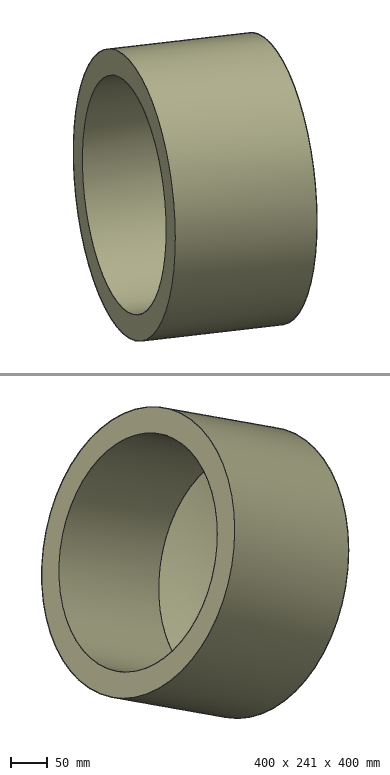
import cadquery as cq
import math

outer_radius = 200.0
wall = 36.0
total_length = 241.0
dome_height = 35.5

inner_radius = outer_radius - wall
skirt_length = total_length - dome_height

outer_dome_radius = (outer_radius**2 + dome_height**2) / (2 * dome_height)
inner_dome_radius = outer_dome_radius - wall
dome_center_y = total_length - outer_dome_radius
bore_depth = dome_center_y + math.sqrt(inner_dome_radius**2 - inner_radius**2)


def domed_plug(radius, side_length, dome_radius):
    """Solid cylinder along Y from Y = 0, ending in a spherical cap."""
    apex_y = dome_center_y + dome_radius
    half_angle = math.asin(radius / dome_radius) / 2
    arc_middle = (
        dome_radius * math.sin(half_angle),
        dome_center_y + dome_radius * math.cos(half_angle),
    )
    return (
        cq.Workplane("XY")
        .lineTo(radius, 0)
        .lineTo(radius, side_length)
        .threePointArc(arc_middle, (0, apex_y))
        .close()
        .revolve(360, (0, 0, 0), (0, 1, 0))
    )


body = domed_plug(outer_radius, skirt_length, outer_dome_radius)
cavity = domed_plug(inner_radius, bore_depth, inner_dome_radius)
result = body.cut(cavity)